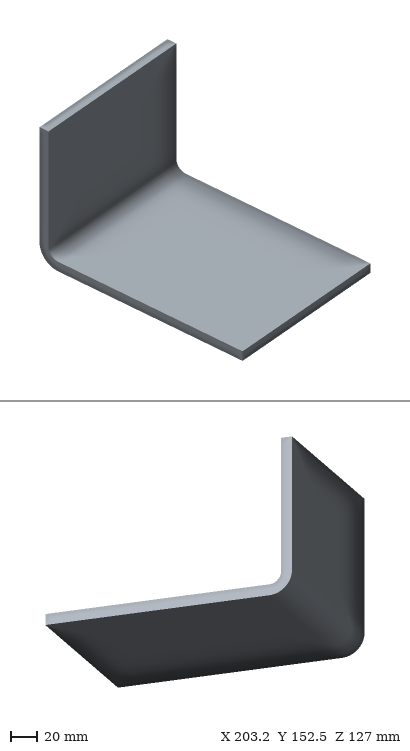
import cadquery as cq

length = 203.2
width = 152.5
height = 127.0

thickness = 9.0
inner_radius = 9.5
outer_radius = inner_radius + thickness


def l_profile():
    """Sharp-cornered L section with its outer corner at the origin."""
    return (
        cq.Workplane("XZ")
        .moveTo(0, 0)
        .lineTo(length, 0)
        .lineTo(length, thickness)
        .lineTo(thickness, thickness)
        .lineTo(thickness, height)
        .lineTo(0, height)
        .close()
    )


def edge_at(x, z):
    """Selector for the bend edge running along Y through (x, z)."""
    return cq.selectors.NearestToPointSelector((x, 0, z))


bracket = l_profile().extrude(width / 2, both=True)
bracket = bracket.edges(edge_at(thickness, thickness)).fillet(inner_radius)
result = bracket.edges(edge_at(0, 0)).fillet(outer_radius)